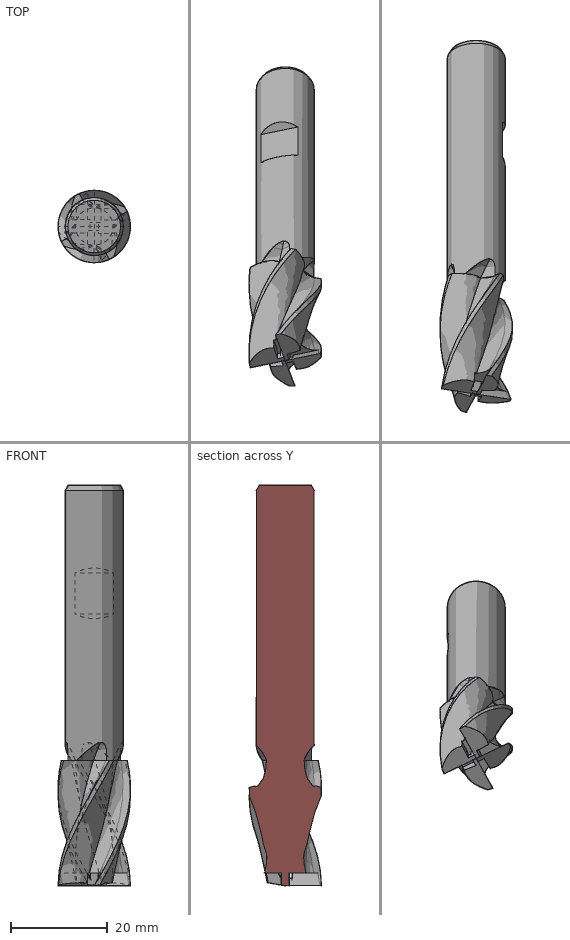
import cadquery as cq
import math

total_length = 83.0
cutter_diameter = 15.0
cutter_radius = cutter_diameter / 2
cutter_length = 26.0
shank_diameter = 12.0
shank_radius = shank_diameter / 2
flutes = 4
pitch_angle = 360.0 / flutes
helix_angle = 30.0
first_tooth_angle = 0.0

land_angle = 8.0
back_points = [(6.2, 24.0), (5.15, 42.0), (3.9, 63.0)]
flute_bottom = (4.4, 79.0)
rake_root = (6.0, 89.0)

chamfer_height = 1.1
chamfer_width = 0.6
flat_center_z = 60.6
flat_length = 8.5
flat_opening = 10.45
flat_depth = 1.5

runout_outer_radius = 8.3
runout_stages = [
    (cutter_length, 28.0, 3.9, 63.0, 90.0),
    (28.4, 56.0, 5.0, 74.0, 90.0),
    (29.3, 68.0, 5.6, 77.0, 87.0),
    (29.7, 75.0, 5.9, 78.0, 82.0),
]

end_relief_angle = 10.0
gash_width = 1.4
gash_height = 2.65
gash_inner_radius = 0.8
gash_lean_angle = 27.0

lead = 2 * math.pi * cutter_radius / math.tan(math.radians(helix_angle))
twist = 360.0 * cutter_length / lead


def polar(radius, angle):
    a = math.radians(angle)
    return (radius * math.cos(a), radius * math.sin(a))


def each_flute(solid, start_angle):
    """Copies of a solid at every flute position."""
    for i in range(flutes):
        yield solid.rotate((0, 0, 0), (0, 0, 1), start_angle + i * pitch_angle)


def fluted_body():
    """Helical section: each tooth has a land, a curved back, a hollow flute and a flat rake."""
    outline = cq.Workplane("XY").moveTo(*polar(cutter_radius, first_tooth_angle))
    for i in range(flutes):
        edge = first_tooth_angle + i * pitch_angle
        outline = outline.threePointArc(
            polar(cutter_radius, edge + land_angle / 2), polar(cutter_radius, edge + land_angle)
        )
        outline = outline.spline(
            [polar(radius, edge + angle) for radius, angle in back_points], includeCurrent=True
        )
        outline = outline.threePointArc(
            polar(flute_bottom[0], edge + flute_bottom[1]), polar(rake_root[0], edge + rake_root[1])
        )
        outline = outline.lineTo(*polar(cutter_radius, edge + pitch_angle))
    return outline.close().twistExtrude(cutter_length, twist)


def shank():
    body = (
        cq.Workplane("XY", origin=(0, 0, cutter_length))
        .circle(shank_radius)
        .extrude(total_length - cutter_length)
    )
    return body.faces(">Z").chamfer(chamfer_height, chamfer_width)


def clamping_flat():
    """Flat with sloping ends on the +Y side of the shank."""
    floor = shank_radius - flat_depth
    return (
        cq.Workplane("YZ")
        .moveTo(floor, flat_center_z - flat_length / 2)
        .lineTo(shank_radius, flat_center_z - flat_opening / 2)
        .lineTo(cutter_radius, flat_center_z - flat_opening / 2)
        .lineTo(cutter_radius, flat_center_z + flat_opening / 2)
        .lineTo(shank_radius, flat_center_z + flat_opening / 2)
        .lineTo(floor, flat_center_z + flat_length / 2)
        .close()
        .extrude(shank_radius, both=True)
    )


def runout_section(z, back_angle, root_radius, root_angle, rake_angle):
    corners = [
        polar(runout_outer_radius, back_angle),
        polar(shank_radius, back_angle),
        polar(root_radius, root_angle),
        polar(shank_radius, rake_angle),
        polar(runout_outer_radius, rake_angle),
    ]
    return cq.Wire.makePolygon([cq.Vector(x, y, z) for x, y in corners], close=True)


def flute_runout():
    """Pocket that continues one flute into the shank and fades out near its rake side."""
    sections = [runout_section(*stage) for stage in runout_stages]
    return cq.Workplane(cq.Solid.makeLoft(sections, True))


def end_relief():
    """Wedge that lifts the end face of one tooth away from its cutting edge."""
    rise = cutter_radius * math.tan(math.radians(end_relief_angle))
    return (
        cq.Workplane("YZ")
        .polyline([(0, 0), (cutter_radius, 0), (cutter_radius, rise)])
        .close()
        .extrude(cutter_radius)
    )


def end_gash():
    """Notch ahead of one end cutting edge, leaning a little less than the helix."""
    lean = gash_height * math.tan(math.radians(gash_lean_angle))
    return (
        cq.Workplane("YZ", origin=(gash_inner_radius, 0, 0))
        .polyline([(0, 0), (lean, gash_height), (-gash_width, gash_height), (-gash_width, 0)])
        .close()
        .extrude(cutter_radius - gash_inner_radius)
    )


upper = shank().cut(clamping_flat())
for pocket in each_flute(flute_runout(), first_tooth_angle + twist):
    upper = upper.cut(pocket)

lower = fluted_body()
for end_cut in (end_relief(), end_gash()):
    for cutter in each_flute(end_cut, first_tooth_angle):
        lower = lower.cut(cutter)

result = lower.union(upper)